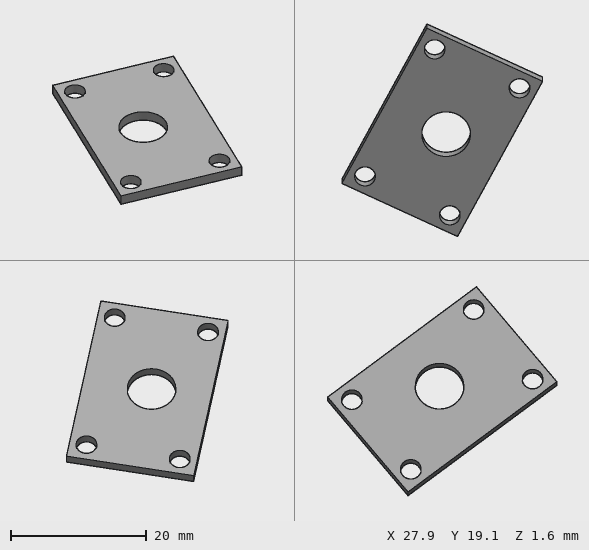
import cadquery as cq

length = 27.95
width = 19.05
thickness = 1.6

bore_diameter = 7.15
bore_offset_y = -0.65
mount_hole_diameter = 3.05
edge_distance = 2.55

mount_spacing_x = length - 2 * edge_distance
mount_spacing_y = width - 2 * edge_distance

plate = cq.Workplane("XY").box(length, width, thickness)

plate = (
    plate.faces(">Z")
    .workplane(origin=(0, 0, 0))
    .center(0, bore_offset_y)
    .hole(bore_diameter)
)

result = (
    plate.faces(">Z")
    .workplane(origin=(0, 0, 0))
    .rect(mount_spacing_x, mount_spacing_y, forConstruction=True)
    .vertices()
    .hole(mount_hole_diameter)
)